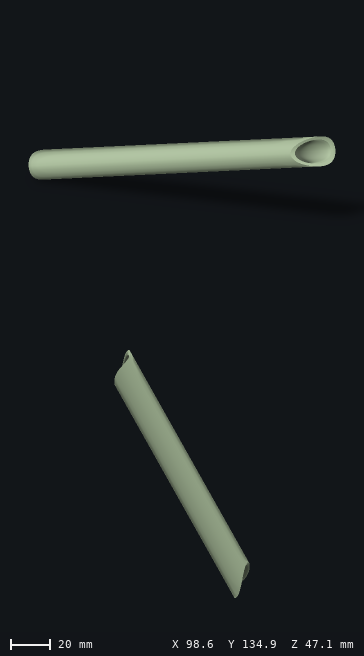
import cadquery as cq


reach_x = 56.24
reach_y = 70.64
reach_z = 19.79

outer_diameter = 15.0
wall = 1.5
inner_diameter = outer_diameter - 2 * wall

crossing_pipe_diameter = 25.0
stock_overrun = crossing_pipe_diameter / 2
cutter_length = 2 * (reach_y + stock_overrun + outer_diameter)

tube_axis = cq.Vector(reach_x, reach_y, reach_z)
half_stock = tube_axis.Length + stock_overrun


def make_stock():
    """Straight tube along the slanted axis, longer than needed at both ends."""
    start = tube_axis.normalized() * -half_stock
    plane = cq.Plane(origin=start, normal=tube_axis)
    return (
        cq.Workplane(plane)
        .circle(outer_diameter / 2)
        .circle(inner_diameter / 2)
        .extrude(2 * half_stock)
    )


def make_crossing_pipe(x, z):
    """Solid cylinder parallel to Y, the shape of the pipe that one tube end fits against."""
    return (
        cq.Workplane("XZ", origin=(x, 0, z))
        .circle(crossing_pipe_diameter / 2)
        .extrude(cutter_length / 2, both=True)
    )


tube = make_stock()
for side in (-1, 1):
    tube = tube.cut(make_crossing_pipe(side * reach_x, side * reach_z))

largest_piece = max(tube.solids().vals(), key=lambda piece: piece.Volume())
result = cq.Workplane(largest_piece)